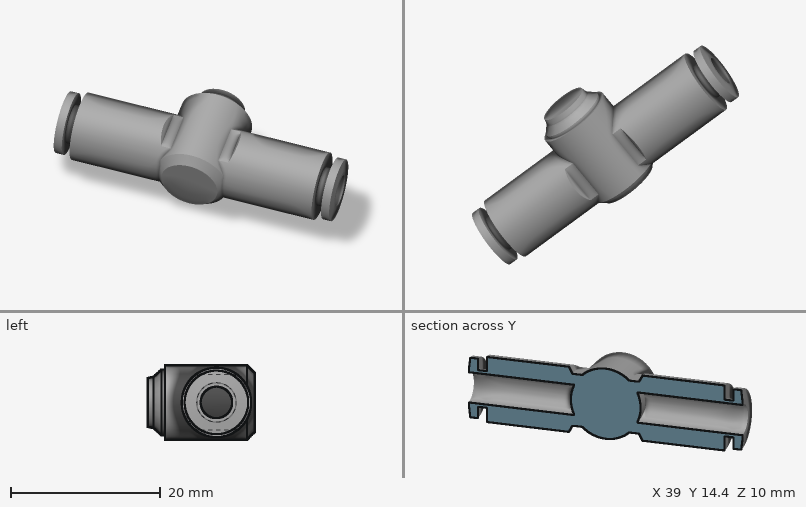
import cadquery as cq

overall_length = 39.0
tube_length = 33.93
tube_diameter = 9.3
bore_diameter = 4.2

collar_diameter = 8.5
collar_length = 1.33
neck_diameter = 5.25
collar_nose_diameter = neck_diameter
collar_nose_height = 0.2

branch_diameter = 10.0
branch_front_y = -5.15
branch_shoulder_y = 6.9
branch_front_chamfer = 1.05

nose_length = 2.3
nose_base_diameter = 8.85
nose_base_length = 0.43
nose_waist_diameter = 6.9
nose_tip_diameter = 6.5
nose_tip_length = 0.8

flat_spacing = 7.4
flat_floor_length = 9.45
flat_mouth_length = 10.45


def make_run():
    """Revolve half of the run about X and mirror it to the other side."""
    end_x = overall_length / 2
    shoulder_x = tube_length / 2
    collar_back_x = end_x - collar_length
    collar_rim_x = end_x - collar_nose_height
    half = (
        cq.Workplane("XY")
        .moveTo(0, bore_diameter / 2)
        .lineTo(0, tube_diameter / 2)
        .lineTo(shoulder_x, tube_diameter / 2)
        .lineTo(shoulder_x, neck_diameter / 2)
        .lineTo(collar_back_x, neck_diameter / 2)
        .lineTo(collar_back_x, collar_diameter / 2)
        .lineTo(collar_rim_x, collar_diameter / 2)
        .lineTo(end_x, collar_nose_diameter / 2)
        .lineTo(end_x, bore_diameter / 2)
        .close()
        .revolve(360, (0, 0, 0), (1, 0, 0))
    )
    return half.union(half.mirror("YZ"))


def make_flat_cutter(side):
    """Trapezoidal prism that cuts the top (side=1) or bottom (side=-1) flat."""
    floor_z = side * flat_spacing / 2
    mouth_z = side * tube_diameter / 2
    half_floor = flat_floor_length / 2
    half_mouth = flat_mouth_length / 2
    return (
        cq.Workplane("XZ")
        .polyline([
            (-half_floor, floor_z),
            (half_floor, floor_z),
            (half_mouth, mouth_z),
            (-half_mouth, mouth_z),
        ])
        .close()
        .extrude(tube_diameter / 2, both=True)
    )


def make_branch():
    """Revolve the solid branch, with its chamfer and stepped nose, about Y."""
    radius = branch_diameter / 2
    tip_y = branch_shoulder_y + nose_length
    base_end_y = branch_shoulder_y + nose_base_length
    waist_y = tip_y - nose_tip_length
    return (
        cq.Workplane("XY")
        .moveTo(0, branch_front_y)
        .lineTo(radius - branch_front_chamfer, branch_front_y)
        .lineTo(radius, branch_front_y + branch_front_chamfer)
        .lineTo(radius, branch_shoulder_y)
        .lineTo(nose_base_diameter / 2, branch_shoulder_y)
        .lineTo(nose_base_diameter / 2, base_end_y)
        .lineTo(nose_waist_diameter / 2, waist_y)
        .lineTo(nose_tip_diameter / 2, tip_y)
        .lineTo(0, tip_y)
        .close()
        .revolve(360, (0, 0, 0), (0, 1, 0))
    )


run = make_run()
for side in (1, -1):
    run = run.cut(make_flat_cutter(side))

result = run.union(make_branch())